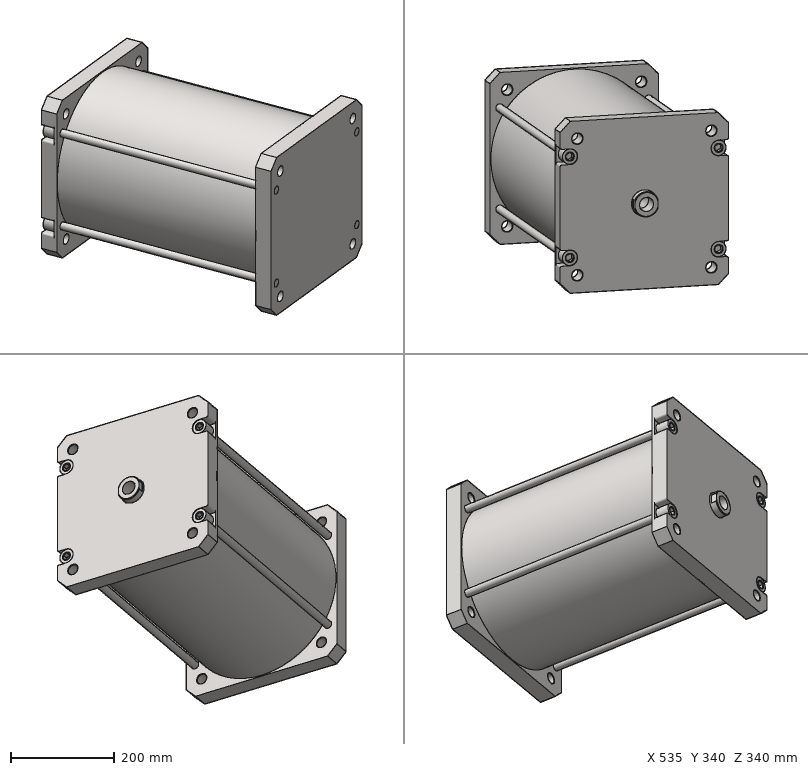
import cadquery as cq
import math

ROD_PROTRUSION = 15.0
PLATE_THICKNESS = 35.0
BARREL_LENGTH = 450.0
FRONT_FACE_X = 0.0
BARREL_START_X = FRONT_FACE_X + PLATE_THICKNESS
REAR_PLATE_X = BARREL_START_X + BARREL_LENGTH
REAR_FACE_X = REAR_PLATE_X + PLATE_THICKNESS

PLATE_SIDE = 340.0
CORNER_CHAMFER = 21.0
MOUNT_HOLE_DIAMETER = 21.0
MOUNT_HOLE_CHAMFER = 1.0
CHAMFER_ANGLE = 45.0
MOUNT_HOLE_OFFSET = 135.0

BARREL_DIAMETER = 336.0

TIE_ROD_DIAMETER = 16.0
TIE_ROD_OFFSET_Y = 150.0
TIE_ROD_OFFSET_Z = 100.0
TIE_ROD_CENTERS = [(y, z) for y in (-TIE_ROD_OFFSET_Y, TIE_ROD_OFFSET_Y)
                   for z in (-TIE_ROD_OFFSET_Z, TIE_ROD_OFFSET_Z)]
HEAD_DIAMETER = 30.0
HEAD_RECESS = 1.0
SOCKET_ACROSS_FLATS = 14.0
SOCKET_DEPTH = 12.0
SOCKET_COUNTERSINK_DIAMETER = 18.0
SOCKET_COUNTERSINK_DEPTH = 1.0

POCKET_WIDTH = 31.0
POCKET_DEPTH = 29.0
POCKET_EDGE_RADIUS = 4.0

PISTON_ROD_DIAMETER = 50.0
PISTON_ROD_CHAMFER = 1.5
PISTON_ROD_BORE_DIAMETER = 52.0
WRENCH_FLAT_WIDTH = 46.5
WRENCH_FLAT_LENGTH = 12.0
THREAD_HOLE_DIAMETER = 28.0
THREAD_HOLE_DEPTH = 35.0
DRILL_POINT_ANGLE = 118.0


def plane_at(x):
    """YZ sketch plane at x: sketch axes are Y and Z, extrusion runs along +X."""
    return cq.Workplane("YZ", origin=(x, 0, 0))


def cylinder(start_x, end_x, diameter):
    """Cylinder on the X axis."""
    return plane_at(start_x).circle(diameter / 2).extrude(end_x - start_x)


def make_end_plate(start_x):
    """Square plate with bevelled corners, chamfered mounting holes and tie-rod holes."""
    plate = plane_at(start_x).rect(PLATE_SIDE, PLATE_SIDE).extrude(PLATE_THICKNESS)
    plate = plate.edges("|X").chamfer(CORNER_CHAMFER)
    mount_hole_centers = (
        plane_at(start_x)
        .rect(2 * MOUNT_HOLE_OFFSET, 2 * MOUNT_HOLE_OFFSET, forConstruction=True)
        .vertices()
    )
    mount_hole_radius = MOUNT_HOLE_DIAMETER / 2
    mount_holes = mount_hole_centers.circle(mount_hole_radius).extrude(PLATE_THICKNESS)
    mount_hole_chamfers = (
        mount_hole_centers
        .circle(mount_hole_radius + MOUNT_HOLE_CHAMFER)
        .extrude(MOUNT_HOLE_CHAMFER, taper=CHAMFER_ANGLE)
    )
    tie_rod_holes = (
        plane_at(start_x)
        .pushPoints(TIE_ROD_CENTERS)
        .circle(TIE_ROD_DIAMETER / 2)
        .extrude(PLATE_THICKNESS)
    )
    return plate.cut(mount_holes).cut(mount_hole_chamfers).cut(tie_rod_holes)


def make_head_pocket(y, z):
    """Round-ended slot that flares out to the plate side with rounded edges."""
    side = math.copysign(1, y)
    half_width = POCKET_WIDTH / 2
    mouth_half_width = half_width + POCKET_EDGE_RADIUS
    side_y = side * PLATE_SIDE / 2
    flare_y = side_y - side * POCKET_EDGE_RADIUS
    arc_inset = POCKET_EDGE_RADIUS * (1 - math.sqrt(0.5))
    arc_y = side_y - side * arc_inset
    arc_half_width = half_width + arc_inset
    return (
        plane_at(FRONT_FACE_X)
        .moveTo(y, z + half_width)
        .lineTo(flare_y, z + half_width)
        .threePointArc((arc_y, z + arc_half_width), (side_y, z + mouth_half_width))
        .lineTo(side_y, z - mouth_half_width)
        .threePointArc((arc_y, z - arc_half_width), (flare_y, z - half_width))
        .lineTo(y, z - half_width)
        .threePointArc((y - side * half_width, z), (y, z + half_width))
        .close()
        .extrude(POCKET_DEPTH)
    )


def make_front_plate():
    """End plate with the piston-rod bore and four pockets for the tie-rod heads."""
    plate = make_end_plate(FRONT_FACE_X)
    plate = plate.cut(cylinder(FRONT_FACE_X, BARREL_START_X, PISTON_ROD_BORE_DIAMETER))
    for y, z in TIE_ROD_CENTERS:
        plate = plate.cut(make_head_pocket(y, z))
    return plate


def make_barrel():
    return cylinder(BARREL_START_X, REAR_PLATE_X, BARREL_DIAMETER)


def make_tie_rod(y, z):
    """Rod through both plates, with a countersunk hex-socket head in the front pocket."""
    socket_diameter = SOCKET_ACROSS_FLATS / math.cos(math.pi / 6)
    head_x = FRONT_FACE_X + HEAD_RECESS
    head = cylinder(head_x, FRONT_FACE_X + POCKET_DEPTH, HEAD_DIAMETER)
    socket = (
        plane_at(head_x)
        .transformed(rotate=(0, 0, 90))
        .polygon(6, socket_diameter)
        .extrude(SOCKET_DEPTH)
    )
    countersink = (
        plane_at(head_x)
        .circle(SOCKET_COUNTERSINK_DIAMETER / 2)
        .workplane(offset=SOCKET_COUNTERSINK_DEPTH)
        .circle(SOCKET_ACROSS_FLATS / 2)
        .loft()
    )
    shank = cylinder(FRONT_FACE_X + POCKET_DEPTH, REAR_FACE_X, TIE_ROD_DIAMETER)
    return head.cut(socket).cut(countersink).union(shank).translate((0, y, z))


def make_piston_rod():
    """Rod end with wrench flats on the Y sides and a drilled thread hole."""
    tip_x = FRONT_FACE_X - ROD_PROTRUSION
    rod = cylinder(tip_x, BARREL_START_X, PISTON_ROD_DIAMETER)
    rod = rod.faces("<X").edges().chamfer(PISTON_ROD_CHAMFER)
    flats = (
        plane_at(tip_x)
        .rect(2 * PISTON_ROD_DIAMETER, 2 * PISTON_ROD_DIAMETER)
        .rect(WRENCH_FLAT_WIDTH, 2 * PISTON_ROD_DIAMETER)
        .extrude(WRENCH_FLAT_LENGTH)
    )
    hole_radius = THREAD_HOLE_DIAMETER / 2
    point_length = hole_radius / math.tan(math.radians(DRILL_POINT_ANGLE / 2))
    hole_end_x = tip_x + THREAD_HOLE_DEPTH
    thread_hole = (
        cq.Workplane("XZ")
        .moveTo(tip_x, 0)
        .lineTo(tip_x, hole_radius)
        .lineTo(hole_end_x, hole_radius)
        .lineTo(hole_end_x + point_length, 0)
        .close()
        .revolve(360, (0, 0, 0), (1, 0, 0))
    )
    return rod.cut(flats).cut(thread_hole)


front_plate = make_front_plate()
rear_plate = make_end_plate(REAR_PLATE_X)
barrel = make_barrel()
piston_rod = make_piston_rod()
tie_rods = [make_tie_rod(y, z) for y, z in TIE_ROD_CENTERS]

result = cq.Compound.makeCompound([
    front_plate.val(),
    rear_plate.val(),
    barrel.val(),
    piston_rod.val(),
    *[tie_rod.val() for tie_rod in tie_rods],
])